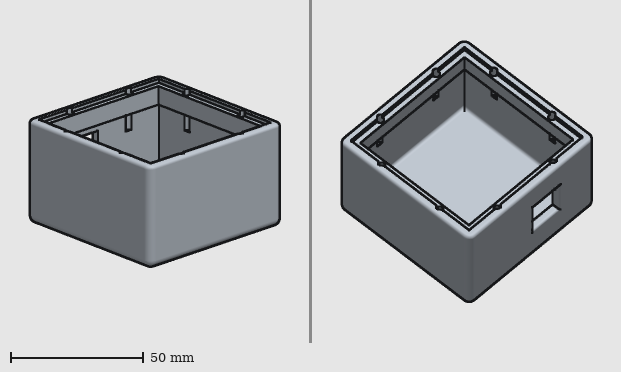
import cadquery as cq

side = 68.6
height = 41.6
corner_radius = 3.0
top_edge_radius = 1.5

wall = 3.5
recess_wall = 3.35
recess_depth = 1.6
lip_wall = 5.9
lip_height = 7.5
floor_thickness = 5.0
floor_fillet = 1.5
ledge_z = height - recess_depth
lip_bottom_z = ledge_z - lip_height

hole_diameter = 2.8
hole_depth = 16.7
hole_from_center = 30.5
hole_half_spacing = 15.2

window_side = 14.0
window_edge_radius = 1.0
window_y = -7.7
window_z = 22.0


def square_block(width, bottom_z, top_z):
    """Centered square block between two heights."""
    return (
        cq.Workplane("XY")
        .workplane(offset=bottom_z)
        .rect(width, width)
        .extrude(top_z - bottom_z)
    )


def make_body():
    body = square_block(side, 0, height)
    body = body.edges("|Z").fillet(corner_radius)
    body = body.faces(">Z").edges().fillet(top_edge_radius)
    return body.faces("<Z").edges().fillet(corner_radius)


def make_interior():
    cavity = square_block(side - 2 * wall, floor_thickness, lip_bottom_z)
    cavity = cavity.faces("<Z").edges().fillet(floor_fillet)
    lip_opening = square_block(side - 2 * lip_wall, lip_bottom_z, ledge_z)
    recess = square_block(side - 2 * recess_wall, ledge_z, height)
    return cavity.union(lip_opening).union(recess)


def make_screw_holes():
    centers = []
    for across in (-hole_from_center, hole_from_center):
        for along in (-hole_half_spacing, hole_half_spacing):
            centers.append((across, along))
            centers.append((along, across))
    return (
        cq.Workplane("XY")
        .workplane(offset=height - hole_depth)
        .pushPoints(centers)
        .circle(hole_diameter / 2)
        .extrude(hole_depth)
    )


def cut_window(body):
    """Cut through the solid -X wall and round the edges on its outer face."""
    cutter = cq.Workplane("XY").box(wall, window_side, window_side)
    cutter = cutter.translate(((wall - side) / 2, window_y, window_z))
    body = body.cut(cutter)
    reach = window_side / 2 + window_edge_radius
    mouth_edges = cq.selectors.BoxSelector(
        (-side / 2 - window_edge_radius, window_y - reach, window_z - reach),
        (-side / 2 + window_edge_radius, window_y + reach, window_z + reach),
    )
    return body.edges(mouth_edges).fillet(window_edge_radius)


result = cut_window(make_body().cut(make_interior())).cut(make_screw_holes())